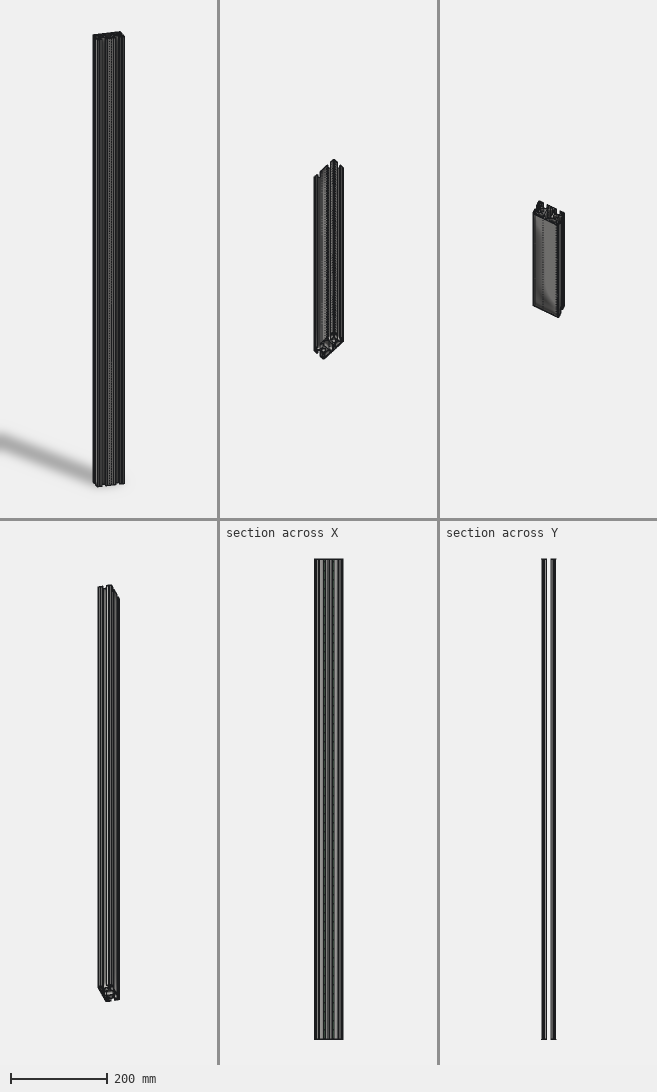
import cadquery as cq

length = 1000.0
cell = 30.0
width = cell
depth = 2 * cell
corner_radius = 2.0

mouth_width = 8.5
lip = 2.2
slot_width = 17.0
slot_floor_width = 9.0
slot_depth = 9.0
shoulder_depth = 4.0

hollow_width = 25.0
hollow_depth = 14.0
hollow_chamfer = 5.0

bore_diameter = 8.0

duct_size = 3.0
duct_wall = 1.5


def rectangle_prism(size_x, size_y, x=0, y=0):
    return cq.Workplane("XY").center(x, y).rect(size_x, size_y).extrude(length)


def slot_chamber():
    """Chamber behind the lip on the +X face of a cell centred on the origin."""
    face = cell / 2
    upper_side = [
        (face - lip, slot_width / 2),
        (face - shoulder_depth, slot_width / 2),
        (face - slot_depth, slot_floor_width / 2),
    ]
    lower_side = [(x, -y) for x, y in reversed(upper_side)]
    return cq.Workplane("XY").polyline(upper_side + lower_side).close().extrude(length)


def open_slot():
    """Chamber and mouth on the +X face of a cell centred on the origin."""
    mouth = rectangle_prism(lip, mouth_width, x=cell / 2 - lip / 2)
    return slot_chamber().union(mouth)


def central_hollow():
    return rectangle_prism(hollow_width, hollow_depth).edges("|Z").chamfer(hollow_chamfer)


def placed_in_cell(tool, angle, cell_y):
    """Turn a tool from the +X face by an angle about Z and move it to a cell."""
    return tool.rotate((0, 0, 0), (0, 0, 1), angle).translate((0, cell_y, 0))


result = rectangle_prism(width, depth).edges("|Z").fillet(corner_radius)
result = result.cut(central_hollow())

duct_x = width / 2 - duct_wall - duct_size / 2
duct_y = depth / 2 - duct_wall - duct_size / 2

for side in (-1, 1):
    cell_y = side * cell / 2

    for angle in (0, side * 90):
        result = result.cut(placed_in_cell(open_slot(), angle, cell_y))

    result = result.cut(placed_in_cell(slot_chamber(), 180, cell_y))

    bore = cq.Workplane("XY").center(0, cell_y).circle(bore_diameter / 2).extrude(length)
    result = result.cut(bore)

    for end in (-1, 1):
        result = result.cut(rectangle_prism(duct_size, duct_size, end * duct_x, side * duct_y))